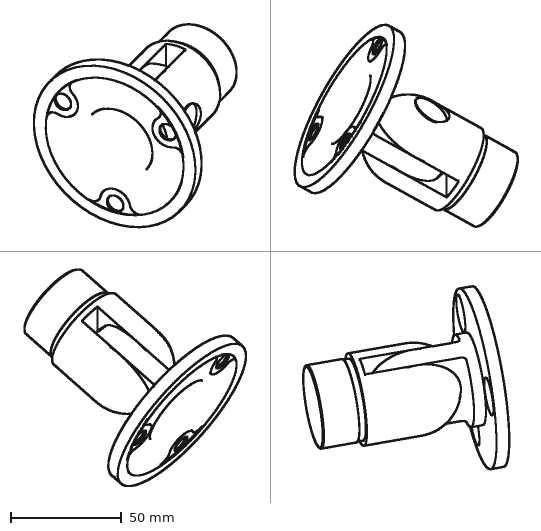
import cadquery as cq
import math


flange_diameter = 83.0
flange_thickness = 6.0
joint_diameter = 42.5
joint_radius = joint_diameter / 2
boss_height = 5.5
pivot_y = 34.3

blade_thickness = 10.0
blade_root_fillet = 2.0

sleeve_length = 27.0
slot_end_wall = 3.0
neck_length = 3.0
neck_diameter = 37.8
spigot_length = 17.0
spigot_diameter = 38.4
spigot_chamfer = 0.5
pivot_counterbore_diameter = 17.0
pivot_counterbore_floor_x = 19.0

hole_count = 3
hole_circle_radius = 31.0
first_hole_angle = -90.0
hole_diameter = 8.4
countersink_diameter = 17.4
countersink_angle = 90.0

recess_radius = 35.35
recess_depth = 2.0
recess_floor_fillet = 1.0
pad_setback = 0.5
pad_radius = 7.75
pad_blend_radius = 4.2

pocket_floor_radius = 15.5
pocket_round = 2.0
pocket_wall_radius = pocket_floor_radius + pocket_round
pocket_mouth_radius = pocket_wall_radius + pocket_round

boss_top_y = flange_thickness + boss_height
sleeve_end_y = pivot_y + sleeve_length
neck_end_y = sleeve_end_y + neck_length
spigot_end_y = neck_end_y + spigot_length


def rod(radius, start_y, end_y, x=0.0, z=0.0):
    """Cylinder along Y between two stations."""
    return cq.Workplane(
        cq.Solid.makeCylinder(radius, end_y - start_y, cq.Vector(x, start_y, z), cq.Vector(0, 1, 0))
    )


def ball():
    """Sphere centred on the pivot."""
    return cq.Workplane("XY").sphere(joint_radius).translate((0, pivot_y, 0))


def hole_centers():
    """X and Z of each mounting hole."""
    angles = [math.radians(first_hole_angle + i * 360 / hole_count) for i in range(hole_count)]
    return [(hole_circle_radius * math.cos(a), hole_circle_radius * math.sin(a)) for a in angles]


def recess_tool():
    """Round recess that leaves a rounded pad around each mounting hole."""
    tool = rod(recess_radius, 0, recess_depth)
    for x, z in hole_centers():
        tool = tool.cut(rod(pad_radius, 0, recess_depth, x, z))
    tool = tool.edges("|Y").fillet(pad_blend_radius)
    return tool.faces(">Y").edges().fillet(recess_floor_fillet)


def pocket_tool():
    """Central pocket with a rounded mouth and a rounded floor corner."""
    wall_y = recess_depth + pocket_round
    floor_y = wall_y + pocket_round
    turn = pocket_round * math.sqrt(0.5)
    mouth_middle = (pocket_mouth_radius - turn, wall_y - turn)
    floor_middle = (pocket_floor_radius + turn, wall_y + turn)
    return (
        cq.Workplane("XY")
        .moveTo(0, recess_depth)
        .lineTo(pocket_mouth_radius, recess_depth)
        .threePointArc(mouth_middle, (pocket_wall_radius, wall_y))
        .threePointArc(floor_middle, (pocket_floor_radius, floor_y))
        .lineTo(0, floor_y)
        .close()
        .revolve(360, (0, 0, 0), (0, 1, 0))
    )


def mounting_hole_tool(x, z):
    """Through hole, countersunk from the joint side."""
    hole_radius = hole_diameter / 2
    sink_radius = countersink_diameter / 2
    sink_depth = (sink_radius - hole_radius) / math.tan(math.radians(countersink_angle / 2))
    sink_start = cq.Vector(x, flange_thickness - sink_depth, z)
    sink = cq.Solid.makeCone(hole_radius, sink_radius, sink_depth, sink_start, cq.Vector(0, 1, 0))
    return rod(hole_radius, 0, flange_thickness, x, z).union(cq.Workplane(sink))


def blade_profile():
    """Blade section, flared at its root by the fillets that run into the boss."""
    half = blade_thickness / 2
    root_half = half + blade_root_fillet
    fillet_top_y = boss_top_y + blade_root_fillet
    tip_y = pivot_y + joint_diameter
    sag = blade_root_fillet * (1 - math.sqrt(0.5))
    right_middle = (half + sag, boss_top_y + sag)
    left_middle = (-half - sag, boss_top_y + sag)
    return (
        cq.Workplane("XY")
        .moveTo(-root_half, boss_top_y)
        .lineTo(root_half, boss_top_y)
        .threePointArc(right_middle, (half, fillet_top_y))
        .lineTo(half, tip_y)
        .lineTo(-half, tip_y)
        .lineTo(-half, fillet_top_y)
        .threePointArc(left_middle, (-root_half, boss_top_y))
        .close()
    )


def make_base():
    """Flange, boss and the round-ended blade that enters the knuckle."""
    boss = rod(joint_radius, flange_thickness, boss_top_y)
    blade_blank = rod(joint_radius, boss_top_y, pivot_y).union(ball())
    blade = blade_blank.intersect(blade_profile().extrude(joint_diameter, both=True))
    stem = boss.union(blade)
    base = rod(flange_diameter / 2, 0, flange_thickness).union(stem)
    for x, z in hole_centers():
        base = base.cut(mounting_hole_tool(x, z))
    setback = rod(recess_radius, 0, pad_setback)
    return base.cut(setback).cut(recess_tool()).cut(pocket_tool())


def make_knuckle():
    """Ball-ended sleeve with the blade slot, the neck and the tube spigot."""
    sleeve = rod(joint_radius, pivot_y, sleeve_end_y).union(ball())
    slot_length = joint_diameter + sleeve_length - slot_end_wall
    slot = cq.Workplane("XY").box(
        blade_thickness, slot_length, 2 * joint_diameter, centered=(True, False, True)
    ).translate((0, pivot_y - joint_diameter, 0))
    neck = rod(neck_diameter / 2, sleeve_end_y, neck_end_y)
    spigot = rod(spigot_diameter / 2, neck_end_y, spigot_end_y).faces(">Y").chamfer(spigot_chamfer)
    counterbore = (
        cq.Workplane("YZ", origin=(pivot_counterbore_floor_x, pivot_y, 0))
        .circle(pivot_counterbore_diameter / 2)
        .extrude(joint_radius)
    )
    return sleeve.cut(slot).union(neck).union(spigot).cut(counterbore)


base = make_base()
knuckle = make_knuckle()

result = cq.Compound.makeCompound([base.val(), *knuckle.vals()])